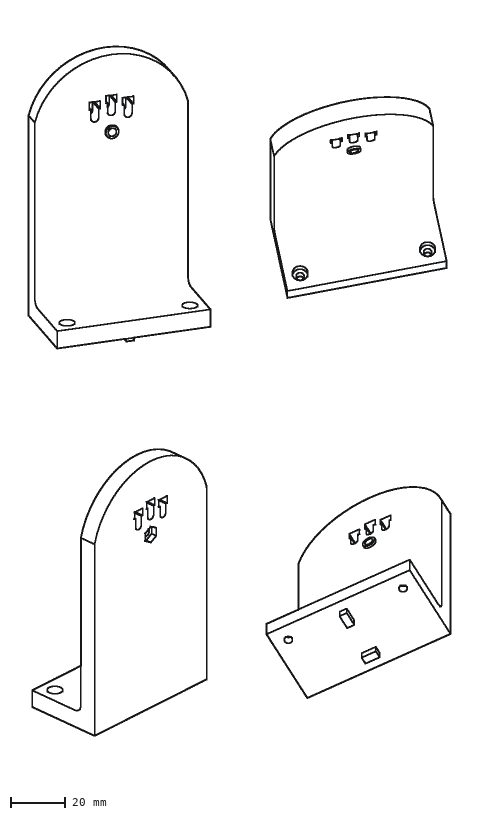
import cadquery as cq
import math

length = 32.0
width = 60.0
height = 107.0
thickness = 7.1
corner_radius = 3.0

key_height = 3.0
base_top = key_height + thickness
screw_z = 76.0
head_radius = height - screw_z
shoulder_z = screw_z + math.sqrt(head_radius**2 - (width / 2) ** 2)

screw_diameter = 3.2
nut_across_flats = 5.8
nut_depth = 2.4
boss_diameter = 5.0
boss_height = 1.0

slot_pitch = 6.5
slot_wide = 4.3
slot_narrow = 3.0
slot_wide_height = 3.0
slot_length = 8.1
middle_slot_top = 90.5
outer_slot_top = 88.8

mount_x = 26.0
mount_pitch = 48.0
mount_diameter = 3.0
counterbore_diameter = 5.8
counterbore_depth = 3.2

key_length = 6.0
key_width = 3.0
rear_key_x = 6.5
front_key_x = 25.0


def make_upright():
    return (
        cq.Workplane("YZ")
        .moveTo(-width / 2, key_height)
        .lineTo(width / 2, key_height)
        .lineTo(width / 2, shoulder_z)
        .threePointArc((0, height), (-width / 2, shoulder_z))
        .close()
        .extrude(thickness)
    )


def make_base():
    base_plane = cq.Workplane("XY", origin=(length / 2, 0, key_height))
    return base_plane.rect(length, width).extrude(thickness)


def make_key(center_x, size_x, size_y):
    return cq.Workplane("XY").center(center_x, 0).rect(size_x, size_y).extrude(base_top)


def make_slot(center_y, top_z):
    end_radius = slot_narrow / 2
    bottom_z = top_z - slot_length
    step_z = top_z - slot_wide_height
    return (
        cq.Workplane("YZ")
        .moveTo(center_y - slot_wide / 2, top_z)
        .lineTo(center_y + slot_wide / 2, top_z)
        .lineTo(center_y + slot_wide / 2, step_z)
        .lineTo(center_y + end_radius, step_z)
        .lineTo(center_y + end_radius, bottom_z + end_radius)
        .threePointArc((center_y, bottom_z), (center_y - end_radius, bottom_z + end_radius))
        .lineTo(center_y - end_radius, step_z)
        .lineTo(center_y - slot_wide / 2, step_z)
        .close()
        .extrude(thickness)
    )


def make_nut_pocket():
    across_corners = nut_across_flats / math.cos(math.pi / 6)
    hexagon = cq.Workplane("YZ").polygon(6, across_corners).extrude(nut_depth)
    return hexagon.rotate((0, 0, 0), (1, 0, 0), 90).translate((0, 0, screw_z))


body = make_upright().union(make_base())
body = body.edges(cq.selectors.NearestToPointSelector((thickness, 0, base_top))).fillet(corner_radius)

body = body.union(make_key(rear_key_x, key_width, key_length))
body = body.union(make_key(front_key_x, key_length, key_width))

screw_plane = cq.Workplane("YZ", origin=(0, 0, screw_z))
body = body.union(screw_plane.circle(boss_diameter / 2).extrude(thickness + boss_height))
body = body.cut(screw_plane.circle(screw_diameter / 2).extrude(thickness + boss_height))
body = body.cut(make_nut_pocket())

for slot_y, slot_top in (
    (-slot_pitch, outer_slot_top),
    (0, middle_slot_top),
    (slot_pitch, outer_slot_top),
):
    body = body.cut(make_slot(slot_y, slot_top))

result = (
    cq.Workplane(body.val())
    .copyWorkplane(cq.Workplane("XY", origin=(0, 0, base_top)))
    .pushPoints([(mount_x, -mount_pitch / 2), (mount_x, mount_pitch / 2)])
    .cboreHole(mount_diameter, counterbore_diameter, counterbore_depth, thickness)
)